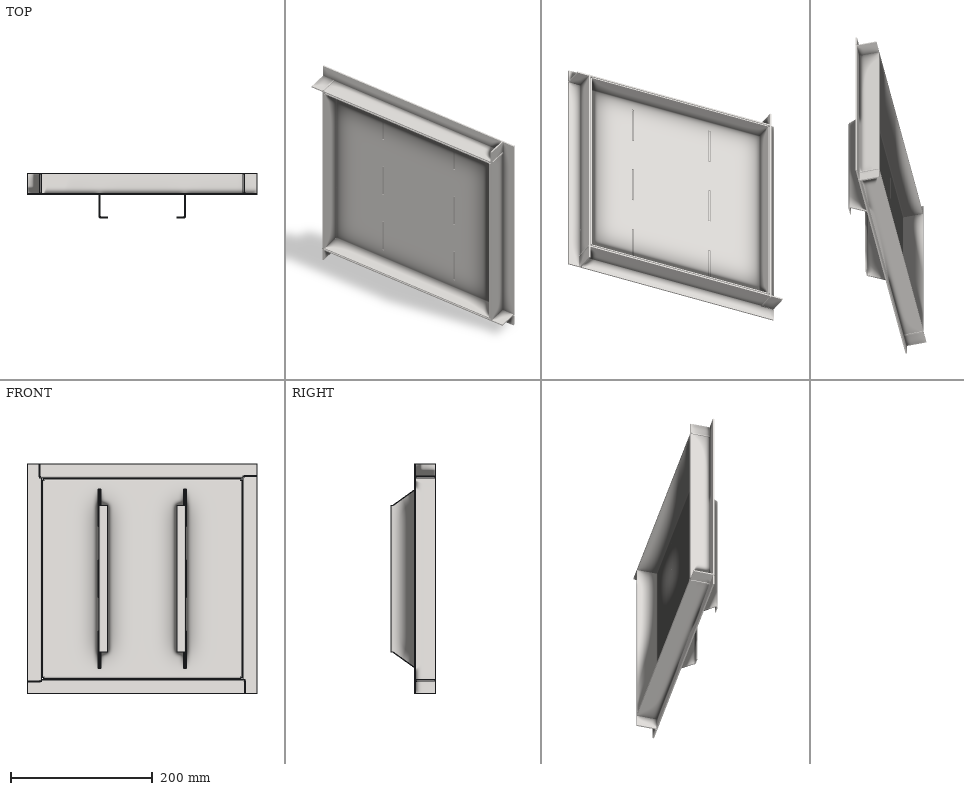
import cadquery as cq
import math

frame_size = 323.8
overall_depth = 63.0
frame_depth = 30.0
frame_sheet = 2.0
frame_bend = 2.4
angle_width = 20.0
leg_proud = 1.0
flange_gap = 1.0
sheet = 1.5
bend_outer = 3.0
panel_gap = 1.0
handle_length = 250.0
grip_length = 207.0
grip_width = 12.0
handle_spacing = 122.0
handle_tabs = 3
slot_clearance = 0.8
corner_notch = 1.6

handle_reach = overall_depth - frame_depth
half_frame = frame_size / 2
half_opening = half_frame - angle_width
leg_inside = half_opening + frame_sheet
bend_line = half_opening + frame_bend
leg_end = leg_inside + leg_proud
flange_end = leg_end - flange_gap
slot_bridge = frame_sheet / 2
slot_depth = frame_depth - slot_bridge
half_panel = half_opening - panel_gap
tab_length = handle_length / (2 * handle_tabs - 1)
outer_face = -handle_spacing / 2
arc_mid = math.sqrt(0.5)


def bent_angle(flange, leg, thickness, outer_radius):
    """Closed L outline with its heel at the origin, flange along +X and leg along +Y."""
    inner_radius = outer_radius - thickness
    inner_mid = outer_radius - inner_radius * arc_mid
    outer_mid = outer_radius - outer_radius * arc_mid
    return (
        cq.Workplane("XY")
        .moveTo(flange, 0)
        .lineTo(flange, thickness)
        .lineTo(outer_radius, thickness)
        .threePointArc((inner_mid, inner_mid), (thickness, outer_radius))
        .lineTo(thickness, leg)
        .lineTo(0, leg)
        .lineTo(0, outer_radius)
        .threePointArc((outer_mid, outer_mid), (outer_radius, 0))
        .close()
    )


def block(x0, x1, y0, y1, z0, z1):
    """Rectangular block between the given limits on each axis."""
    return cq.Workplane("XY").box(x1 - x0, y1 - y0, z1 - z0, centered=False).translate((x0, y0, z0))


def make_frame_angle():
    """Left-hand frame angle; its upper end receives the next angle round the frame."""
    profile = bent_angle(angle_width, frame_depth, frame_sheet, frame_bend)
    angle = profile.extrude(leg_end + half_frame).mirror("YZ")
    angle = angle.translate((-half_opening, 0, -leg_end))

    angle = angle.cut(block(-half_frame, -half_opening, 0, frame_bend, -leg_end, -flange_end))
    angle = angle.cut(block(-leg_end, -half_opening, slot_depth, frame_depth, -leg_end, -half_opening))

    angle = angle.cut(block(-leg_end, -half_opening, 0, frame_sheet, half_opening, half_frame))
    angle = angle.cut(block(-leg_end, -half_opening, 0, frame_bend, half_opening, bend_line))
    return angle.cut(block(-leg_end, -half_opening, 0, slot_depth, half_opening, leg_inside))


def rounded_tray_block(half_width, front, radius):
    """Square block from y = front to the back of the frame, its front edges rounded."""
    return (
        block(-half_width, half_width, front, frame_depth, -half_width, half_width)
        .faces("<Y")
        .edges()
        .fillet(radius)
    )


def make_panel():
    """Tray with four lips bent backward and a relief notch at each corner."""
    panel = rounded_tray_block(half_panel, 0, bend_outer)
    panel = panel.cut(rounded_tray_block(half_panel - sheet, sheet, bend_outer - sheet))
    notch_start = half_panel - corner_notch
    notch = block(notch_start, half_panel, 0, frame_depth, notch_start, half_panel)
    for turn in range(4):
        panel = panel.cut(notch.rotate((0, 0, 0), (0, 1, 0), 90 * turn))
    return panel


def tab_blocks(clearance):
    """Tabs along the foot of the left-hand handle, enlarged by the clearance."""
    pitch = 2 * tab_length
    tabs = []
    for index in range(handle_tabs):
        z_start = index * pitch - handle_length / 2
        z_end = z_start + tab_length
        tabs.append(
            block(
                outer_face - clearance, outer_face + sheet + clearance,
                0, sheet,
                z_start - clearance, z_end + clearance,
            )
        )
    return tabs


def make_handle():
    """Left-hand handle: web standing on the panel, front edge turned in as a grip."""
    handle = (
        bent_angle(grip_width, handle_reach, sheet, bend_outer)
        .extrude(handle_length)
        .translate((outer_face, -handle_reach, -handle_length / 2))
    )
    slope_start = -handle_reach + bend_outer
    web_side = (
        cq.Workplane("YZ")
        .polyline([
            (0, -handle_length / 2),
            (0, handle_length / 2),
            (slope_start, grip_length / 2),
            (-handle_reach, grip_length / 2),
            (-handle_reach, -grip_length / 2),
            (slope_start, -grip_length / 2),
        ])
        .close()
        .extrude(grip_width)
        .translate((outer_face, 0, 0))
    )
    handle = handle.intersect(web_side)
    for tab in tab_blocks(0):
        handle = handle.union(tab)
    return handle


left_angle = make_frame_angle()
frame_angles = [left_angle.rotate((0, 0, 0), (0, 1, 0), 90 * turn) for turn in range(4)]

left_handle = make_handle()
handles = [left_handle, left_handle.mirror("YZ")]

panel = make_panel()
for slot in tab_blocks(slot_clearance):
    panel = panel.cut(slot).cut(slot.mirror("YZ"))

bodies = [*frame_angles, panel, *handles]
result = cq.Compound.makeCompound([body.solids().val() for body in bodies])